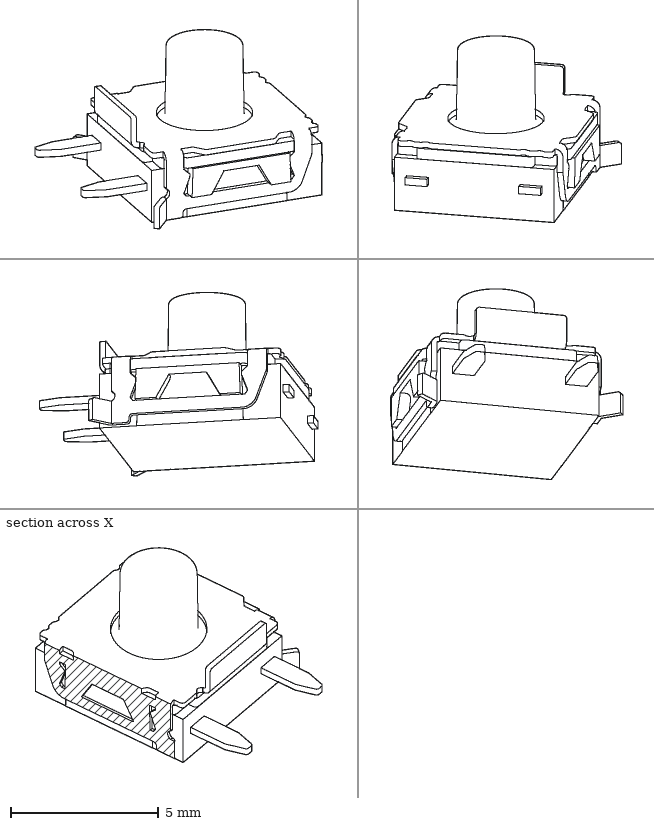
import cadquery as cq
import math


body_half_x = 2.79
body_half_y = 3.15
body_height = 1.91

boss_reach = 3.19
boss_root_reach = 2.8
boss_half_y_bottom = 1.855
boss_half_y_top = 1.79

recess_half_y_bottom = 1.1
recess_half_y_top = 0.65
recess_top = 1.645
recess_round = 0.19

cover_core_half_x = body_half_x
cover_core_half_y = 2.8
cover_wing_half_x = 3.1
cover_block_half_x = 2.04
cover_block_half_y = 3.14
cover_round = 0.14

sheet = 0.2
plate_top = 2.49
plate_bottom = plate_top - sheet
plate_half_y = 3.09
plate_wing_half_x = 3.115
plate_wing_root_half_y = 1.59
plate_wing_tip_half_y = 1.28
plate_corner_round = 0.14
plate_wing_round = 0.175
plunger_hole_diameter = 3.28
leg_bend_inner = 0.08
leg_bend_outer = leg_bend_inner + sheet
leg_inside = body_half_x
leg_outside = leg_inside + sheet
plate_half_x = leg_outside - leg_bend_outer
leg_top = plate_top - leg_bend_outer
leg_inner_y = 2.04
leg_outer_y = 2.695

notch_radius = 0.15
notch_edge_round = 0.14
front_notch_x = 1.76
front_notch_y = 3.13
rear_notch_x = (1.715, 2.275)
rear_notch_y = 3.15

rail_top = 0.85
rail_bottom = 0.385
rail_corner_round = 0.09
foot_bottom = 0.08
foot_round = 0.12
foot_step_y = 2.07
bump_reach_y = 1.83
bump_root_top = 1.84
bump_top = 1.645
bump_bottom = 1.53
bump_root_bottom = 0.97
rear_slant_top = 1.66
rear_slant_end = (2.33, 0.69)
rear_sweep_middle = (2.135, 0.47)
rear_sweep_end_y = 1.89
relief_top = 1.225
relief_middle = 1.03
relief_depth = 0.12

tab_span = 7.24
tab_reach_x = tab_span / 2
tab_top = 0.87
tab_angle = 40
tab_round = 0.105

flange_half_x = 1.59
flange_front = 3.395
flange_top = 3.43
flange_round = 0.11
flange_bend_inner = 0.07
flange_bend_outer = flange_bend_inner + sheet
flange_bend_start = flange_front - flange_bend_outer

plunger_top = 5.04
plunger_radius_bottom = 1.35
plunger_radius_top = 1.31
plunger_root_round = 0.19
plunger_rim_round = 0.105

terminal_x = 1.99
terminal_width = 0.76
terminal_half_width = terminal_width / 2
terminal_bottom = 1.015
terminal_top = 1.28
terminal_length = 8.75
terminal_rear = 3.36
terminal_front = terminal_length - terminal_rear
terminal_taper_start = 4.61
terminal_tip_half_width = 0.15
terminal_tip_round = 0.105

arc_middle = math.sin(math.radians(45))


def block(half_x, half_y, bottom, top):
    return cq.Workplane("XY").workplane(offset=bottom).rect(2 * half_x, 2 * half_y).extrude(top - bottom)


def both_sides(solid):
    return solid.union(solid.mirror("YZ"))


def round_corners(solid, corners, radius):
    """Round the vertical edges of the bracket plate at the given (x, y) corners."""
    reach = 0.01
    for x, y in corners:
        low = (x - reach, y - reach, plate_bottom)
        high = (x + reach, y + reach, plate_top)
        solid = solid.edges("|Z").edges(cq.selectors.BoxSelector(low, high)).fillet(radius)
    return solid


def bend_section(plane, start, inner):
    """Quarter-round sheet bend in a section plane, with the plate lying towards the origin."""
    outer = inner + sheet
    center_z = plate_top - outer
    return (
        cq.Workplane(plane)
        .moveTo(start, plate_top)
        .threePointArc((start + outer * arc_middle, center_z + outer * arc_middle), (start + outer, center_z))
        .lineTo(start + inner, center_z)
        .threePointArc((start + inner * arc_middle, center_z + inner * arc_middle), (start, plate_bottom))
        .close()
    )


def make_boss():
    """Boss on the +X side, with its recess open towards the bracket rail."""

    def half_y(z):
        return boss_half_y_bottom + (boss_half_y_top - boss_half_y_bottom) * z / body_height

    def slab(bottom, reach):
        outline = [
            (-half_y(bottom), bottom),
            (half_y(bottom), bottom),
            (half_y(body_height), body_height),
            (-half_y(body_height), body_height),
        ]
        return cq.Workplane("YZ").polyline(outline).close().extrude(reach)

    recess_outline = [
        (-recess_half_y_bottom, rail_top),
        (recess_half_y_bottom, rail_top),
        (recess_half_y_top, recess_top),
        (-recess_half_y_top, recess_top),
    ]
    recess = (
        cq.Workplane("YZ")
        .workplane(offset=boss_root_reach)
        .polyline(recess_outline)
        .close()
        .extrude(boss_reach - boss_root_reach)
        .edges("<X and >Z")
        .fillet(recess_round)
    )
    return slab(rail_top, boss_reach).cut(recess).union(slab(0, boss_root_reach))


def make_cover():
    core = block(cover_core_half_x, cover_core_half_y, body_height, plate_bottom)
    wings = block(cover_wing_half_x, leg_inner_y, body_height, plate_bottom)
    blocks = block(cover_block_half_x, cover_block_half_y, body_height, plate_bottom)
    return (
        core.edges("|Z").fillet(cover_round)
        .union(wings.edges("|Z").fillet(cover_round))
        .union(blocks.edges("|Z").fillet(cover_round))
    )


def make_plate():
    def extrude(outline):
        return cq.Workplane("XY").workplane(offset=plate_bottom).polyline(outline).close().extrude(sheet)

    def notch_corner(center, side):
        """Point where a notch meets the plate edge, on the given X side of the notch."""
        center_x, center_y = center
        overhang = abs(center_y) - plate_half_y
        corner_x = center_x + side * math.sqrt(notch_radius**2 - overhang**2)
        return (corner_x, math.copysign(plate_half_y, center_y))

    wing_outline = [
        (plate_half_x, plate_wing_root_half_y),
        (plate_wing_half_x, plate_wing_tip_half_y),
        (plate_wing_half_x, -plate_wing_tip_half_y),
        (plate_half_x, -plate_wing_root_half_y),
    ]
    plate = block(plate_half_x, plate_half_y, plate_bottom, plate_top)
    plate = plate.edges("|Z").fillet(plate_corner_round)
    plate = plate.union(both_sides(extrude(wing_outline)))

    front_notches = [(side * front_notch_x, -front_notch_y) for side in (-1, 1)]
    rear_notches = [(side * x, rear_notch_y) for side in (-1, 1) for x in rear_notch_x]
    notches = (
        cq.Workplane("XY")
        .workplane(offset=plate_bottom)
        .pushPoints(front_notches + rear_notches)
        .circle(notch_radius)
        .extrude(sheet)
    )
    plate = plate.cut(notches)

    notch_corners = [notch_corner(center, math.copysign(1, center[0])) for center in front_notches]
    notch_corners += [notch_corner(center, side) for center in rear_notches for side in (-1, 1)]
    plate = round_corners(plate, notch_corners, notch_edge_round)
    wing_corners = [(side * x, y) for side in (-1, 1) for x, y in wing_outline]
    plate = round_corners(plate, wing_corners, plate_wing_round)

    lip_outline = [
        (-flange_half_x, 0),
        (flange_half_x, 0),
        (flange_half_x, -flange_bend_start),
        (-flange_half_x, -flange_bend_start),
    ]
    lip = extrude(lip_outline)
    hole = cq.Workplane("XY").workplane(offset=plate_bottom).circle(plunger_hole_diameter / 2).extrude(sheet)
    return plate.union(lip).cut(hole)


def make_flange():
    """Upright flange with the bend that joins it to the plate."""
    bend_center_z = plate_top + flange_bend_inner
    wall = (
        cq.Workplane("XY")
        .box(2 * flange_half_x, sheet, flange_top - bend_center_z, centered=(True, False, False))
        .translate((0, -flange_front, bend_center_z))
        .edges("|Y and >Z")
        .fillet(flange_round)
    )
    bend = (
        bend_section("YZ", flange_bend_start, flange_bend_inner)
        .extrude(flange_half_x, both=True)
        .mirror("XZ")
        .mirror("XY", (0, 0, (plate_top + plate_bottom) / 2))
    )
    return wall.union(bend)


def make_bracket_side():
    """Legs and rail on the +X side, with the bends joining the legs to the plate."""
    outline = (
        cq.Workplane("YZ")
        .workplane(offset=leg_inside)
        .moveTo(leg_outer_y, leg_top)
        .lineTo(leg_outer_y, rear_slant_top)
        .lineTo(*rear_slant_end)
        .threePointArc(rear_sweep_middle, (rear_sweep_end_y, rail_bottom))
        .lineTo(foot_round - foot_step_y, rail_bottom)
        .tangentArcPoint((-foot_step_y, rail_bottom - foot_round), relative=False)
        .lineTo(-foot_step_y, foot_bottom + foot_round)
        .tangentArcPoint((-foot_step_y - foot_round, foot_bottom), relative=False)
        .lineTo(-leg_outer_y, foot_bottom)
        .lineTo(-leg_outer_y, tab_top)
        .threePointArc((relief_depth - leg_outer_y, relief_middle), (-leg_outer_y, relief_top))
        .lineTo(-leg_outer_y, leg_top)
        .lineTo(-leg_inner_y, leg_top)
        .lineTo(-leg_inner_y, bump_root_top)
        .lineTo(-bump_reach_y, bump_top)
        .lineTo(-bump_reach_y, bump_bottom)
        .lineTo(-leg_inner_y, bump_root_bottom)
        .lineTo(rail_corner_round - leg_inner_y, rail_top)
        .lineTo(leg_inner_y - rail_corner_round, rail_top)
        .lineTo(leg_inner_y, bump_root_bottom)
        .lineTo(bump_reach_y, bump_bottom)
        .lineTo(bump_reach_y, bump_top)
        .lineTo(leg_inner_y, bump_root_top)
        .lineTo(leg_inner_y, leg_top)
        .close()
    )
    side = outline.extrude(sheet)
    bend = bend_section("XZ", plate_half_x, leg_bend_inner).extrude(leg_outer_y - leg_inner_y)
    for end_y in (leg_outer_y, -leg_inner_y):
        side = side.union(bend.translate((0, end_y, 0)))
    return side


def make_tab():
    """Tab on the +X side, bent outwards about the outer front corner of the leg."""
    angle = math.radians(tab_angle)
    half_turn = math.radians(90 - tab_angle) / 2
    along = cq.Vector(math.cos(angle), -math.sin(angle), 0)
    across = cq.Vector(-math.sin(angle), -math.cos(angle), 0)
    corner = cq.Vector(leg_outside, -leg_outer_y, 0)
    length = (tab_reach_x - leg_outside) / math.cos(angle)
    height = tab_top - foot_bottom

    blade = (
        cq.Workplane(cq.Plane(corner + cq.Vector(0, 0, foot_bottom), along, across))
        .lineTo(length, 0)
        .lineTo(length, height - tab_round)
        .tangentArcPoint((length - tab_round, height), relative=False)
        .lineTo(0, height)
        .close()
        .extrude(sheet)
    )
    bend_end = corner + across * sheet
    bend = (
        cq.Workplane("XY")
        .workplane(offset=foot_bottom)
        .moveTo(corner.x, corner.y)
        .lineTo(leg_inside, corner.y)
        .threePointArc(
            (corner.x - sheet * math.cos(half_turn), corner.y - sheet * math.sin(half_turn)),
            (bend_end.x, bend_end.y),
        )
        .close()
        .extrude(height)
    )
    return blade.union(bend)


def make_plunger():
    root_z = plate_bottom + plunger_root_round
    rim_z = plunger_top - plunger_rim_round
    root_inset = plunger_root_round * (1 - arc_middle)
    rim_inset = plunger_rim_round * (1 - arc_middle)
    return (
        cq.Workplane("XZ")
        .moveTo(0, plate_bottom)
        .lineTo(plunger_radius_bottom + plunger_root_round, plate_bottom)
        .threePointArc(
            (plunger_radius_bottom + root_inset, plate_bottom + root_inset),
            (plunger_radius_bottom, root_z),
        )
        .lineTo(plunger_radius_top, rim_z)
        .threePointArc(
            (plunger_radius_top - rim_inset, plunger_top - rim_inset),
            (plunger_radius_top - plunger_rim_round, plunger_top),
        )
        .lineTo(0, plunger_top)
        .close()
        .revolve(360, (0, 0, 0), (0, 1, 0))
    )


def make_terminal():
    """Flat terminal on the +X side, running through the body to a tapered front tip."""
    outline = [
        (terminal_x - terminal_half_width, terminal_rear),
        (terminal_x + terminal_half_width, terminal_rear),
        (terminal_x + terminal_half_width, -terminal_taper_start),
        (terminal_x + terminal_tip_half_width, -terminal_front),
        (terminal_x - terminal_tip_half_width, -terminal_front),
        (terminal_x - terminal_half_width, -terminal_taper_start),
    ]
    return (
        cq.Workplane("XY")
        .workplane(offset=terminal_bottom)
        .polyline(outline)
        .close()
        .extrude(terminal_top - terminal_bottom)
        .faces("<Y")
        .edges("|Z")
        .fillet(terminal_tip_round)
    )


result = (
    block(body_half_x, body_half_y, 0, body_height)
    .union(both_sides(make_boss()))
    .union(make_cover())
    .union(make_plate())
    .union(make_flange())
    .union(both_sides(make_bracket_side()))
    .union(both_sides(make_tab()))
    .union(make_plunger())
    .union(both_sides(make_terminal()))
)